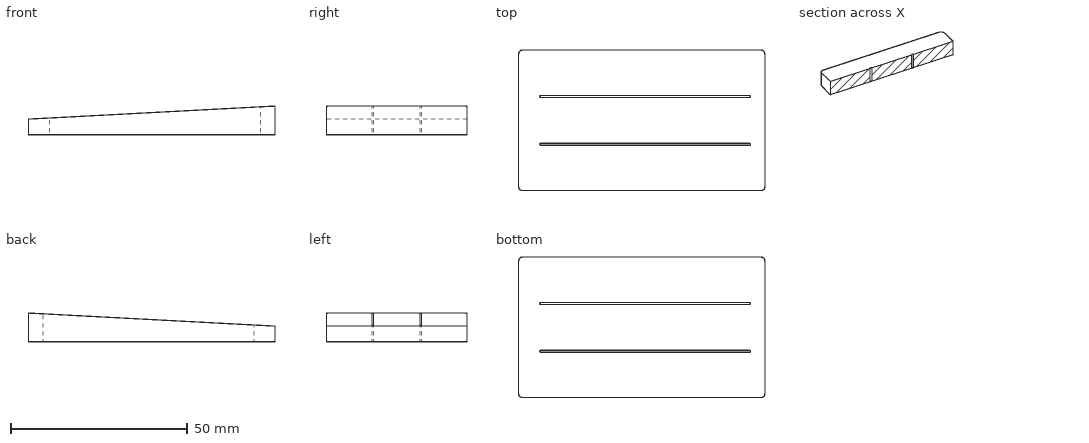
import cadquery as cq

LENGTH = 70.0
WIDTH = 40.0
HIGH_END = 8.2
LOW_END = 4.5
CORNER_RADIUS = 1.2

SLOT_START = 6.0
SLOT_END = 65.9
SLOT_WIDTH = 0.5
SLOT_SPACING = 13.6


def make_wedge():
    """Sloping block with rounded vertical corners."""
    profile = [(0, 0), (LENGTH, 0), (LENGTH, HIGH_END), (0, LOW_END)]
    block = cq.Workplane("XZ").polyline(profile).close().extrude(WIDTH / 2, both=True)
    return block.edges("|Z").fillet(CORNER_RADIUS)


def make_slot_cutters():
    """Pair of upright slot bodies, placed evenly about the centre line."""
    slot_centre = (SLOT_START + SLOT_END) / 2
    slot_centres = [(slot_centre, side * SLOT_SPACING / 2) for side in (-1, 1)]
    slots = cq.Workplane("XY").pushPoints(slot_centres).slot2D(SLOT_END - SLOT_START, SLOT_WIDTH)
    return slots.extrude(HIGH_END)


result = make_wedge().cut(make_slot_cutters())